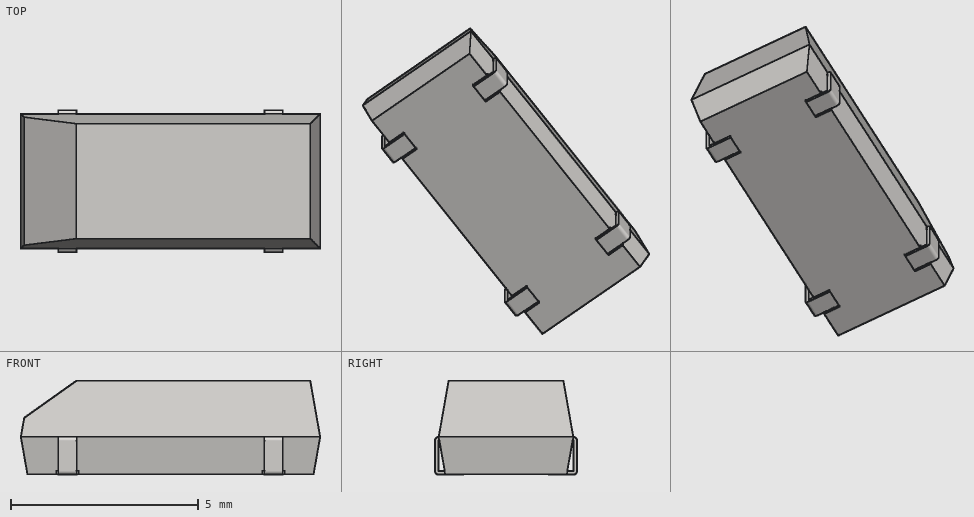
import cadquery as cq
import math

BODY_LENGTH = 8.0
BODY_WIDTH = 3.6
TOTAL_HEIGHT = 2.51
LOWER_HEIGHT = 1.0
STANDOFF = 0.01
DRAFT_ANGLE = 10.0

SLOPE_DROP = 0.99
SLOPE_TOP_X = 1.49

LEAD_SPAN = 3.8
LEAD_WIDTH = 0.5
LEAD_PITCH = 5.5
LEAD_REACH = 0.75

RECESS_CLEARANCE = 0.05

parting_z = STANDOFF + LOWER_HEIGHT
upper_height = TOTAL_HEIGHT - parting_z

lead_thickness = (LEAD_SPAN - BODY_WIDTH) / 2
lead_bend_radius = lead_thickness
recess_top = STANDOFF + lead_thickness

lead_center_y = (LEAD_REACH - LEAD_SPAN) / 2
draft_slope = math.tan(math.radians(DRAFT_ANGLE))


def make_half(height):
    """Drafted block from the parting plane; a negative height builds downward."""
    parting = cq.Workplane("XY").workplane(offset=parting_z)
    return parting.rect(BODY_LENGTH, BODY_WIDTH).extrude(height, taper=DRAFT_ANGLE)


def make_slope_cutter():
    """Wedge that removes the upper -X corner of the body."""
    end_x = -BODY_LENGTH / 2
    low_z = TOTAL_HEIGHT - SLOPE_DROP
    low_x = end_x + (low_z - parting_z) * draft_slope
    top_x = end_x + SLOPE_TOP_X
    outline = [(end_x, low_z), (low_x, low_z), (top_x, TOTAL_HEIGHT), (end_x, TOTAL_HEIGHT)]
    return cq.Workplane("XZ").polyline(outline).close().extrude(BODY_WIDTH / 2, both=True)


def make_lead(center_x):
    """Lead on the -Y side: an embedded tongue, an upright leg and a foot."""
    lead = cq.Workplane("XY").box(LEAD_WIDTH, LEAD_REACH, parting_z, centered=(True, True, False))
    lead = lead.faces("<Y").edges("|X").fillet(lead_bend_radius)
    opening = (
        cq.Workplane("XY")
        .box(LEAD_WIDTH, LEAD_REACH, parting_z - 2 * lead_thickness, centered=(True, True, False))
        .translate((0, lead_thickness, lead_thickness))
    )
    return lead.cut(opening).translate((center_x, lead_center_y, 0))


def make_recess(center_x):
    """Pocket on the -Y side of the underside, leaving a thin gap above the foot."""
    width = LEAD_WIDTH + 2 * RECESS_CLEARANCE
    recess = cq.Workplane("XY").box(width, LEAD_REACH, recess_top, centered=(True, True, False))
    return recess.translate((center_x, lead_center_y, 0))


body = make_half(upper_height).union(make_half(-LOWER_HEIGHT))
body = body.cut(make_slope_cutter())

lead_positions = [-LEAD_PITCH / 2, LEAD_PITCH / 2]
for lead_x in lead_positions:
    recess = make_recess(lead_x)
    body = body.cut(recess).cut(recess.mirror("XZ"))

for lead_x in lead_positions:
    lead = make_lead(lead_x)
    body = body.union(lead).union(lead.mirror("XZ"))

result = body